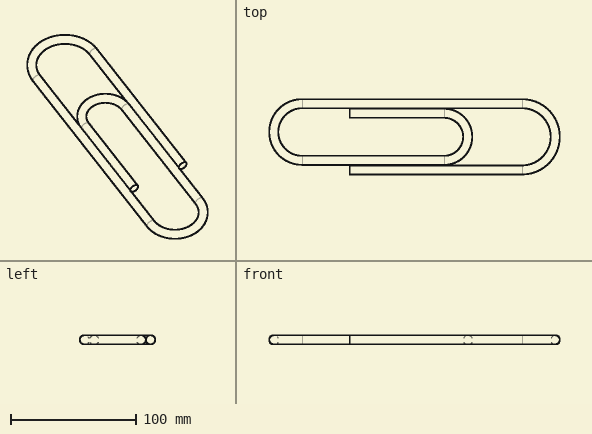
import cadquery as cq

overall_length = 232.6
overall_width = 60.5
wire_diameter = 7.5
wire_radius = wire_diameter / 2

wire_pitch = 7.7

free_end_to_inner_bend = 75.5
free_end_to_outer_bend = 138.0

outer_bend_radius = (overall_width - wire_diameter) / 2
left_bend_radius = outer_bend_radius - wire_pitch / 2
inner_bend_radius = left_bend_radius - wire_pitch / 2

outer_bend_x = overall_length / 2 - wire_radius - outer_bend_radius
left_bend_x = -overall_length / 2 + wire_radius + left_bend_radius
free_end_x = outer_bend_x - free_end_to_outer_bend
inner_bend_x = free_end_x + free_end_to_inner_bend

bottom_y = -outer_bend_radius
top_y = outer_bend_radius
lower_inner_y = top_y - 2 * left_bend_radius
upper_inner_y = lower_inner_y + 2 * inner_bend_radius


def wire_centreline():
    """Single path spiralling inwards from the lower free end."""
    return (
        cq.Workplane("XY")
        .moveTo(free_end_x, bottom_y)
        .lineTo(outer_bend_x, bottom_y)
        .threePointArc((outer_bend_x + outer_bend_radius, 0), (outer_bend_x, top_y))
        .lineTo(left_bend_x, top_y)
        .threePointArc(
            (left_bend_x - left_bend_radius, top_y - left_bend_radius),
            (left_bend_x, lower_inner_y),
        )
        .lineTo(inner_bend_x, lower_inner_y)
        .threePointArc(
            (inner_bend_x + inner_bend_radius, lower_inner_y + inner_bend_radius),
            (inner_bend_x, upper_inner_y),
        )
        .lineTo(free_end_x, upper_inner_y)
    )


result = (
    cq.Workplane("YZ", origin=(free_end_x, bottom_y, 0))
    .circle(wire_radius)
    .sweep(wire_centreline())
)